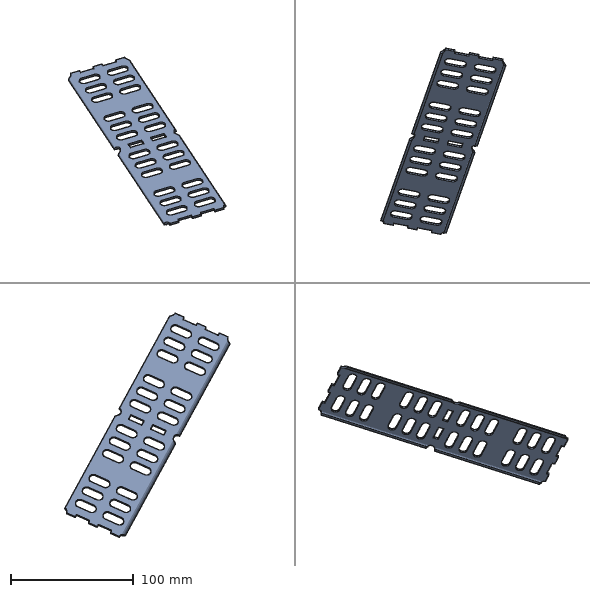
import cadquery as cq

length = 200.0
width = 55.2
thickness = 2.0
bend_radius = 3.5
inner_bend_radius = bend_radius - thickness

group_count = 4
group_pitch = length / group_count
slots_per_group = 3
slot_pitch = group_pitch / 4
slot_row_pitch = group_pitch / 2
slot_width = 7.0
slot_length = 18.0

window_width = 4.5
window_length = 12.0
window_row_pitch = 20.0

relief_radius = 3.8
relief_row_pitch = 55.8

station_spacing = length / 2
station_count = 3

cut_depth = 2 * bend_radius


def make_strip():
    """Extrude the curled cross-section along X."""
    half_width = width / 2
    half_flat = half_width - bend_radius
    profile = (
        cq.Workplane("YZ")
        .moveTo(-half_flat, 0)
        .lineTo(half_flat, 0)
        .radiusArc((half_width, -bend_radius), bend_radius)
        .lineTo(half_width - thickness, -bend_radius)
        .radiusArc((half_flat, -thickness), -inner_bend_radius)
        .lineTo(-half_flat, -thickness)
        .radiusArc((-half_width + thickness, -bend_radius), -inner_bend_radius)
        .lineTo(-half_width, -bend_radius)
        .radiusArc((-half_flat, 0), bend_radius)
        .close()
    )
    return profile.extrude(length / 2, both=True)


def make_slots():
    """Two rows of rounded slots in every group."""
    slots = cq.Workplane("XY")
    for group in range(group_count):
        group_x = (group - (group_count - 1) / 2) * group_pitch
        slots = (
            slots.center(group_x, 0)
            .rarray(slot_pitch, slot_row_pitch, slots_per_group, 2)
            .slot2D(slot_length, slot_width, 90)
            .center(-group_x, 0)
        )
    return slots.extrude(-cut_depth)


def make_windows():
    """Rectangular windows at mid-length and end notches."""
    return (
        cq.Workplane("XY")
        .rarray(station_spacing, window_row_pitch, station_count, 2)
        .rect(window_width, window_length)
        .extrude(-cut_depth)
    )


def make_reliefs():
    """Round cutters along both curled edges."""
    return (
        cq.Workplane("XY")
        .rarray(station_spacing, relief_row_pitch, station_count, 2)
        .circle(relief_radius)
        .extrude(-cut_depth)
    )


result = make_strip().cut(make_slots()).cut(make_windows()).cut(make_reliefs())